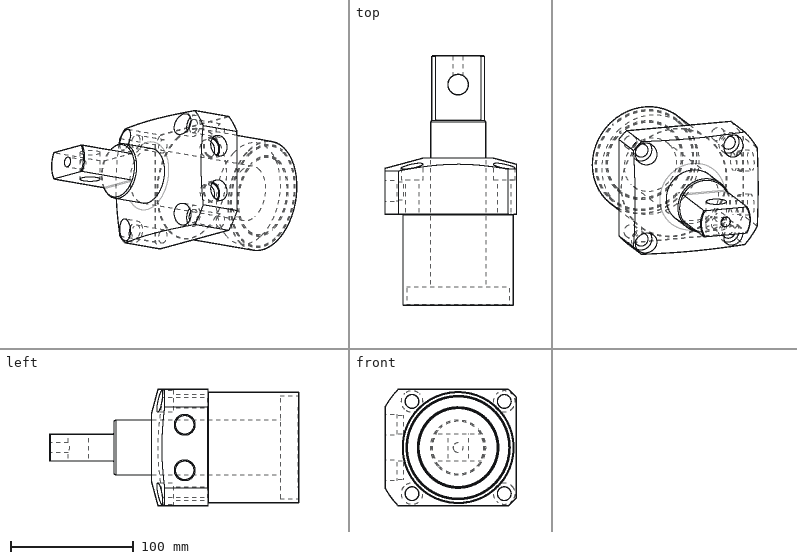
import cadquery as cq
import math


barrel_radius = 45.0
barrel_length = 74.0
barrel_root_chamfer = 0.5
barrel_end_chamfer = 0.3
flange_height = 46.0
flange_half_width = 47.5
flange_port_side = 59.5
port_side_corner_radius = 68.0
plain_side_corner_radius = 62.5
flange_edge_chamfer = 0.3
crown_flat_radius = 28.0
crown_angle = 15.0

mount_hole_diameter = 11.0
mount_hole_offset = 37.5
counterbore_diameter = 17.5
counterbore_floor_y = 28.0
port_diameter = 17.0
port_depth = 9.6
port_drill_diameter = 15.0
port_drill_depth = 15.0
port_offset = 18.5
port_height = 19.0

cap_radius = 41.8
cap_thickness = 15.0
seam_chamfer = 0.6
face_groove_radius = 32.45
face_groove_half_width = 0.75

rod_radius = 22.5
rod_protrusion = 30.5
shoulder_chamfer_height = 1.5
tang_radius = 21.5
tang_length = 52.5
tang_thickness = 22.0
tang_end_chamfer = 0.7
tang_root_fillet = 0.8
pin_hole_diameter = 16.5
pin_hole_from_end = 23.5
screw_hole_diameter = 8.0

rear_y = -barrel_length
cap_inner_y = rear_y + cap_thickness
shoulder_y = flange_height + rod_protrusion
tang_end_y = shoulder_y + tang_length
pin_hole_y = tang_end_y - pin_hole_from_end
shoulder_chamfer_width = rod_radius - tang_radius


def revolve_about_axis(points):
    """Turn a closed (radius, y) profile around the Y axis."""
    profile = cq.Workplane("XY").polyline(points).close()
    return profile.revolve(360, (0, 0, 0), (0, 1, 0))


def cylinder(radius, start_y, end_y):
    """Cylinder on the Y axis between two positions."""
    return revolve_about_axis([(0, start_y), (radius, start_y), (radius, end_y), (0, end_y)])


def block(x_min, x_max, y_min, y_max, z_half):
    """Box symmetric about Z = 0."""
    box = cq.Workplane("XY").box(x_max - x_min, y_max - y_min, 2 * z_half)
    return box.translate(((x_min + x_max) / 2, (y_min + y_max) / 2, 0))


def make_flange():
    """Rectangular flange with round corners and a conical crown."""
    flange = block(-flange_port_side, flange_half_width, 0, flange_height, flange_half_width)
    flange = flange.faces("<Y").chamfer(flange_edge_chamfer)

    port_side = block(-flange_port_side, 0, 0, flange_height, flange_half_width)
    port_side = port_side.intersect(cylinder(port_side_corner_radius, 0, flange_height))
    plain_side = block(0, flange_half_width, 0, flange_height, flange_half_width)
    plain_side = plain_side.intersect(cylinder(plain_side_corner_radius, 0, flange_height))
    flange = flange.intersect(port_side.union(plain_side))

    crown_run = port_side_corner_radius - crown_flat_radius
    crown_rim_y = flange_height - crown_run * math.tan(math.radians(crown_angle))
    crown = revolve_about_axis([
        (0, 0),
        (port_side_corner_radius, 0),
        (port_side_corner_radius, crown_rim_y),
        (crown_flat_radius, flange_height),
        (0, flange_height),
    ])
    return flange.intersect(crown)


def cut_mount_holes(body):
    """Four through holes, counterbored from the crown."""
    for x in (-mount_hole_offset, mount_hole_offset):
        for z in (-mount_hole_offset, mount_hole_offset):
            hole = cylinder(mount_hole_diameter / 2, 0, flange_height)
            hole = hole.union(cylinder(counterbore_diameter / 2, counterbore_floor_y, flange_height))
            body = body.cut(hole.translate((x, 0, z)))
    return body


def cut_ports(body):
    """Two blind stepped ports in the -X side of the flange."""
    port = cylinder(port_diameter / 2, 0, port_depth)
    port = port.union(cylinder(port_drill_diameter / 2, 0, port_drill_depth))
    port = port.rotate((0, 0, 0), (0, 0, 1), -90)
    for z in (-port_offset, port_offset):
        body = body.cut(port.translate((-flange_port_side, port_height, z)))
    return body


def make_housing():
    """Flange and barrel, bored for the rod and pocketed for the end cap."""
    barrel = cylinder(barrel_radius, rear_y, 0).faces("<Y").chamfer(barrel_end_chamfer)
    root = revolve_about_axis([
        (0, -barrel_root_chamfer),
        (barrel_radius, -barrel_root_chamfer),
        (barrel_radius + barrel_root_chamfer, 0),
        (0, 0),
    ])
    housing = make_flange().union(barrel).union(root)
    housing = cut_ports(cut_mount_holes(housing))

    cap_pocket = revolve_about_axis([
        (0, rear_y),
        (cap_radius + seam_chamfer, rear_y),
        (cap_radius, rear_y + seam_chamfer),
        (cap_radius, cap_inner_y),
        (0, cap_inner_y),
    ])
    rod_bore = cylinder(rod_radius, cap_inner_y, flange_height)
    return housing.cut(cap_pocket).cut(rod_bore)


def make_end_cap():
    """Round plug, flush with the end of the barrel."""
    return revolve_about_axis([
        (0, cap_inner_y),
        (cap_radius, cap_inner_y),
        (cap_radius, rear_y + seam_chamfer),
        (cap_radius - seam_chamfer, rear_y),
        (face_groove_radius + face_groove_half_width, rear_y),
        (face_groove_radius, rear_y + face_groove_half_width),
        (face_groove_radius - face_groove_half_width, rear_y),
        (0, rear_y),
    ])


def make_rod():
    """Stepped round rod whose tip has two flats, a cross pin hole and a screw hole in its end."""
    rod = revolve_about_axis([
        (0, cap_inner_y),
        (rod_radius, cap_inner_y),
        (rod_radius, shoulder_y - shoulder_chamfer_height),
        (tang_radius, shoulder_y),
        (tang_radius, tang_end_y - tang_end_chamfer),
        (tang_radius - tang_end_chamfer, tang_end_y),
        (0, tang_end_y),
    ])

    flat_cut = cq.Workplane("XY").box(
        2 * rod_radius, tang_length, rod_radius, centered=(True, False, False)
    )
    flat_cut = flat_cut.edges("<Y and <Z").fillet(tang_root_fillet)
    flat_cut = flat_cut.translate((0, shoulder_y, tang_thickness / 2))
    rod = rod.cut(flat_cut).cut(flat_cut.mirror("XY"))

    pin_hole = cq.Workplane("XY").circle(pin_hole_diameter / 2).extrude(tang_thickness, both=True)
    pin_hole = pin_hole.translate((0, pin_hole_y, 0))
    screw_hole = cylinder(screw_hole_diameter / 2, pin_hole_y, tang_end_y)
    return rod.cut(pin_hole).cut(screw_hole)


housing = make_housing()
end_cap = make_end_cap()
rod = make_rod()

result = cq.Compound.makeCompound([housing.val(), end_cap.val(), rod.val()])